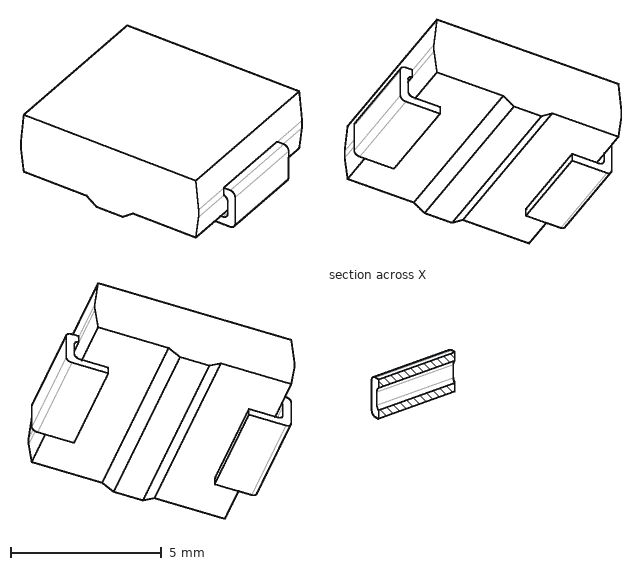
import cadquery as cq

overall_length = 8.0
body_width = 6.2
overall_height = 2.61

lead_width = 3.2
lead_thickness = 0.3
lead_top = 1.49
foot_length = 1.5
outer_bend_radius = 0.2
inner_bend_radius = 0.2

band_inset = 0.46
taper_inset = 0.11
standoff_half_length = 0.52
standoff_slope_run = 0.41

half_length = overall_length / 2
band_x = half_length - band_inset
taper_x = band_x - taper_inset
body_bottom = lead_thickness
band_bottom = lead_top - lead_thickness


def make_body():
    """Moulded body with tapered ends and a standoff that reaches the mounting plane."""
    standoff_root_x = standoff_half_length + standoff_slope_run
    right_side = [
        (standoff_half_length, 0),
        (standoff_root_x, body_bottom),
        (taper_x, body_bottom),
        (band_x, band_bottom),
        (band_x, lead_top),
        (taper_x, overall_height),
    ]
    left_side = [(-x, z) for x, z in reversed(right_side)]
    profile = cq.Workplane("XZ").polyline(right_side + left_side).close()
    return profile.extrude(body_width / 2, both=True)


def make_left_lead(body):
    """Strip with a short top arm against the body, an upright and a foot below the body.

    The inner end of the arm is trimmed to the end face of the body.
    """
    outer_x = -half_length
    inner_x = outer_x + lead_thickness
    arm_end_x = inner_x + inner_bend_radius
    foot_end_x = outer_x + foot_length
    profile = (
        cq.Workplane("XZ")
        .moveTo(arm_end_x, lead_top)
        .lineTo(outer_x + outer_bend_radius, lead_top)
        .radiusArc((outer_x, lead_top - outer_bend_radius), -outer_bend_radius)
        .lineTo(outer_x, outer_bend_radius)
        .radiusArc((outer_x + outer_bend_radius, 0), -outer_bend_radius)
        .lineTo(foot_end_x, 0)
        .lineTo(foot_end_x, lead_thickness)
        .lineTo(inner_x + inner_bend_radius, lead_thickness)
        .radiusArc((inner_x, lead_thickness + inner_bend_radius), inner_bend_radius)
        .lineTo(inner_x, band_bottom - inner_bend_radius)
        .radiusArc((arm_end_x, band_bottom), inner_bend_radius)
        .close()
    )
    strip = profile.extrude(lead_width / 2, both=True)
    return cq.Workplane(strip.cut(body).solids().val())


body = make_body()

leads = [
    make_left_lead(body).rotate((0, 0, 0), (0, 0, 1), angle)
    for angle in (0, 180)
]

result = cq.Compound.makeCompound([body.val(), *[lead.val() for lead in leads]])